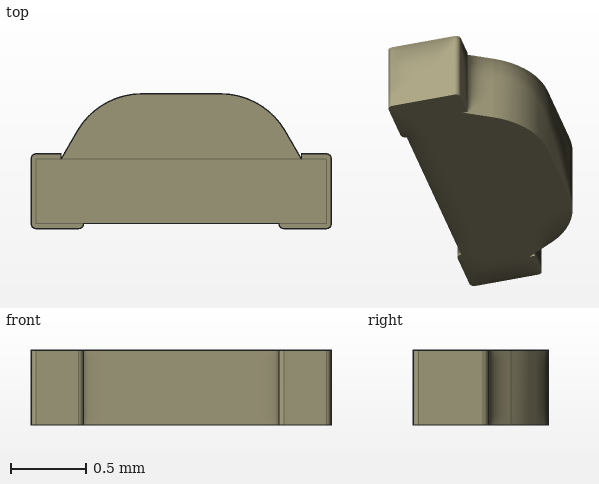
import cadquery as cq
import math

length = 2.0
depth = 0.9
height = 0.5

cap_depth = 0.5
plating = 0.035
back_tab = 0.2
front_tab = 0.35

lens_radius = 0.5
flank_angle = math.radians(60)

half_length = length / 2
board_back = cap_depth - plating


def make_board():
    """Plain core, inset from the caps by the plating thickness."""
    return (
        cq.Workplane("XY")
        .box(length - 2 * plating, board_back - plating, height, centered=(True, False, False))
        .translate((0, plating, 0))
    )


def make_left_cap():
    """C-shaped cap with rounded outer corners and a rounded front tab end."""
    outer_end = -half_length
    inner_end = outer_end + plating
    back_tab_end = outer_end + back_tab
    front_tab_end = outer_end + front_tab
    bend = plating * math.sqrt(0.5)
    return (
        cq.Workplane("XY")
        .moveTo(back_tab_end, board_back)
        .lineTo(back_tab_end, cap_depth)
        .lineTo(inner_end, cap_depth)
        .threePointArc((inner_end - bend, board_back + bend), (outer_end, board_back))
        .lineTo(outer_end, plating)
        .threePointArc((inner_end - bend, plating - bend), (inner_end, 0))
        .lineTo(front_tab_end - plating, 0)
        .threePointArc((front_tab_end - plating + bend, plating - bend), (front_tab_end, plating))
        .lineTo(inner_end, plating)
        .lineTo(inner_end, board_back)
        .close()
        .extrude(height)
    )


def make_lens():
    """Sloping flanks that run tangentially into arcs and a flat back."""
    base_x = half_length - back_tab
    arc_center_y = depth - lens_radius
    flank_top_y = arc_center_y + lens_radius * math.cos(flank_angle)
    flank_top_x = base_x - (flank_top_y - board_back) / math.tan(flank_angle)
    arc_center_x = flank_top_x - lens_radius * math.sin(flank_angle)
    mid_x = arc_center_x + lens_radius * math.sin(flank_angle / 2)
    mid_y = arc_center_y + lens_radius * math.cos(flank_angle / 2)
    return (
        cq.Workplane("XY")
        .moveTo(-base_x, board_back)
        .lineTo(-flank_top_x, flank_top_y)
        .threePointArc((-mid_x, mid_y), (-arc_center_x, depth))
        .lineTo(arc_center_x, depth)
        .threePointArc((mid_x, mid_y), (flank_top_x, flank_top_y))
        .lineTo(base_x, board_back)
        .close()
        .extrude(height)
    )


left_cap = make_left_cap()
right_cap = left_cap.mirror("YZ")

result = make_board()
for attached_part in (left_cap, right_cap, make_lens()):
    result = result.union(attached_part, clean=False)